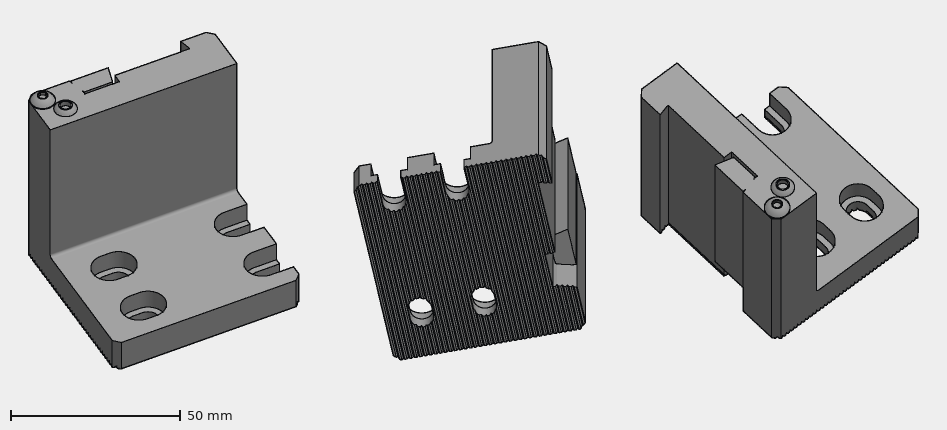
import cadquery as cq
import math

LENGTH_X = 58.0
WIDTH_Y = 62.0
WALL_HEIGHT = 63.0
WALL_THICKNESS = 16.0
BASE_THICKNESS = 11.0
INNER_FILLET = 1.0
CORNER_CHAMFER = 2.0

GROOVE_PITCH = 1.5
GROOVE_DEPTH = 0.75
GROOVE_ANGLE = 60.0
GROOVE_HALF_WIDTH = GROOVE_DEPTH * math.tan(math.radians(GROOVE_ANGLE / 2))
GROOVE_COUNT = 40

SLOT_X = (28.0, 47.0)
SLOT_WIDTH = 7.0
SLOT_SEAT_WIDTH = 11.0
SLOT_SEAT_DEPTH = 6.5
SLOT_TRAVEL = 3.0
CLOSED_SLOT_Y = 15.0
OPEN_SLOT_Y = 54.5

DOVETAIL_ANGLE = 15.0
DOVETAIL_SLOPE = math.tan(math.radians(DOVETAIL_ANGLE))
RECESS_DEPTH = 4.0
RECESS_TOP_Y = 51.5
UNDERCUT_RUN = 3.4
POCKET_DEPTH = 7.0
POCKET_TOP_Y = 27.6
POCKET_MOUTH_Y = 14.6
POCKET_SLOPE_RUN = 5.7

GIB_SETBACK = 0.2
GIB_BACK = 6.2
GIB_TOP_Y = 27.4
GIB_TOE_RUN = 1.1
GIB_HEEL_RUN = 5.5
GIB_HEEL_RISE = 0.3
GIB_BOTTOM_Z = 12.2

SCREW_X = 3.8
SCREW_RADIUS = 3.8
SCREW_OVERHANG = 0.03
SCREW_Y = SCREW_RADIUS - SCREW_OVERHANG
SCREW_HEIGHT = 2.1
SCREW_RIM = 0.3
SCREW_FLAT_RADIUS = 1.6
HEX_ACROSS_FLATS = 2.5
HEX_DEPTH = 1.0
HEX_POINT_DEPTH = 0.6
BUTTON_X = 9.95
BUTTON_Y = 8.2
BUTTON_RADIUS = 3.5
BUTTON_HEIGHT = 1.4
BUTTON_FLAT_RADIUS = 2.05
BUTTON_HOLE_DIAMETER = 3.3
BUTTON_HOLE_DEPTH = 1.8


def make_body():
    """L-shaped body with a rounded inner corner and chamfered vertical corners."""
    profile = [
        (0, 0),
        (LENGTH_X, 0),
        (LENGTH_X, BASE_THICKNESS),
        (WALL_THICKNESS, BASE_THICKNESS),
        (WALL_THICKNESS, WALL_HEIGHT),
        (0, WALL_HEIGHT),
    ]
    body = cq.Workplane("XZ").polyline(profile).close().extrude(-WIDTH_Y)
    inner_corner = cq.selectors.NearestToPointSelector((WALL_THICKNESS, WIDTH_Y / 2, BASE_THICKNESS))
    body = body.edges(inner_corner).fillet(INNER_FILLET)
    outer_edges = body.faces("<X or >X").edges("|Z")
    return outer_edges.chamfer(CORNER_CHAMFER)


def make_serrations():
    """V-grooves across the underside; the outermost two run out through the ends."""
    first_x = (LENGTH_X - (GROOVE_COUNT - 1) * GROOVE_PITCH) / 2
    grooves = cq.Workplane("XZ")
    for index in range(GROOVE_COUNT):
        x = first_x + index * GROOVE_PITCH
        grooves = grooves.moveTo(x - GROOVE_HALF_WIDTH, 0).lineTo(x, GROOVE_DEPTH)
        grooves = grooves.lineTo(x + GROOVE_HALF_WIDTH, 0).close()
    return grooves.extrude(-WIDTH_Y)


def slot_cutter(x, start_y, end_y, width, floor_z):
    """Round-ended slot between two end centres, cut from the base top down to floor_z."""
    travel = end_y - start_y
    return (
        cq.Workplane("XY", origin=(x, (start_y + end_y) / 2, floor_z))
        .slot2D(travel + width, width, 90)
        .extrude(BASE_THICKNESS - floor_z)
    )


def cut_slots(body):
    """Closed slots at the front and open-ended slots at the back, all counterbored."""
    seat_z = BASE_THICKNESS - SLOT_SEAT_DEPTH
    closed_span = (CLOSED_SLOT_Y - SLOT_TRAVEL / 2, CLOSED_SLOT_Y + SLOT_TRAVEL / 2)
    open_span = (OPEN_SLOT_Y, WIDTH_Y + SLOT_SEAT_WIDTH)
    for x in SLOT_X:
        for start_y, end_y in (closed_span, open_span):
            body = body.cut(slot_cutter(x, start_y, end_y, SLOT_WIDTH, 0))
            body = body.cut(slot_cutter(x, start_y, end_y, SLOT_SEAT_WIDTH, seat_z))
    return body


def make_recess():
    """Full-height recess: an undercut lip, a flat floor and a deeper pocket for the gib."""
    lip_y = RECESS_TOP_Y + UNDERCUT_RUN * DOVETAIL_SLOPE
    pocket_y = POCKET_MOUTH_Y + POCKET_SLOPE_RUN * DOVETAIL_SLOPE
    profile = [
        (0, RECESS_TOP_Y),
        (UNDERCUT_RUN, lip_y),
        (RECESS_DEPTH, lip_y),
        (RECESS_DEPTH, POCKET_TOP_Y),
        (POCKET_DEPTH, POCKET_TOP_Y),
        (POCKET_DEPTH, pocket_y),
        (POCKET_SLOPE_RUN, pocket_y),
        (0, POCKET_MOUTH_Y),
    ]
    return cq.Workplane("XY").polyline(profile).close().extrude(WALL_HEIGHT)


def make_gib():
    """Gib with a sloped clamping edge; its seat on the pocket slope has a blunt toe and heel."""
    toe_y = POCKET_MOUTH_Y + GIB_TOE_RUN * DOVETAIL_SLOPE
    heel_y = POCKET_MOUTH_Y + GIB_HEEL_RUN * DOVETAIL_SLOPE
    pocket_y = POCKET_MOUTH_Y + POCKET_SLOPE_RUN * DOVETAIL_SLOPE
    profile = [
        (GIB_SETBACK, toe_y),
        (GIB_TOE_RUN, toe_y),
        (GIB_HEEL_RUN, heel_y),
        (GIB_BACK, pocket_y + GIB_HEEL_RISE),
        (GIB_BACK, GIB_TOP_Y - (GIB_BACK - GIB_SETBACK) * DOVETAIL_SLOPE),
        (GIB_SETBACK, GIB_TOP_Y),
    ]
    gib = cq.Workplane("XY", origin=(0, 0, GIB_BOTTOM_Z)).polyline(profile).close()
    return gib.extrude(WALL_HEIGHT - GIB_BOTTOM_Z)


def make_dome(x, y, radius, rim, height, flat_radius):
    """Spherical head with a cylindrical rim and a flat top, standing on the wall."""
    rise = height - rim
    centre_drop = (radius**2 - flat_radius**2 - rise**2) / (2 * rise)
    sphere_radius = math.hypot(radius, centre_drop)
    sphere_z = WALL_HEIGHT + rim - centre_drop
    sphere = cq.Workplane("XY", origin=(x, y, sphere_z)).sphere(sphere_radius)
    blank = cq.Workplane("XY", origin=(x, y, WALL_HEIGHT)).circle(radius).extrude(height)
    return blank.intersect(sphere)


def hex_socket():
    """Hexagonal socket of the screw, ending in a conical point."""
    corner_radius = HEX_ACROSS_FLATS / math.sqrt(3)
    floor_z = WALL_HEIGHT + SCREW_HEIGHT - HEX_DEPTH
    socket = cq.Workplane("XY", origin=(SCREW_X, SCREW_Y, floor_z))
    socket = socket.polygon(6, 2 * corner_radius).extrude(HEX_DEPTH)
    point = cq.Solid.makeCone(
        HEX_ACROSS_FLATS / 2,
        0,
        HEX_POINT_DEPTH,
        pnt=cq.Vector(SCREW_X, SCREW_Y, floor_z),
        dir=cq.Vector(0, 0, -1),
    )
    return socket.union(cq.Workplane(point))


def button_hole():
    """Round blind hole down the middle of the button."""
    floor_z = WALL_HEIGHT + BUTTON_HEIGHT - BUTTON_HOLE_DEPTH
    hole = cq.Workplane("XY", origin=(BUTTON_X, BUTTON_Y, floor_z))
    return hole.circle(BUTTON_HOLE_DIAMETER / 2).extrude(BUTTON_HOLE_DEPTH)


screw = make_dome(SCREW_X, SCREW_Y, SCREW_RADIUS, SCREW_RIM, SCREW_HEIGHT, SCREW_FLAT_RADIUS)
button = make_dome(BUTTON_X, BUTTON_Y, BUTTON_RADIUS, 0, BUTTON_HEIGHT, BUTTON_FLAT_RADIUS)

bracket = cut_slots(make_body())
bracket = bracket.cut(make_recess()).union(make_gib())
bracket = bracket.cut(make_serrations())
bracket = bracket.union(screw).union(button)
result = bracket.cut(hex_socket()).cut(button_hole())